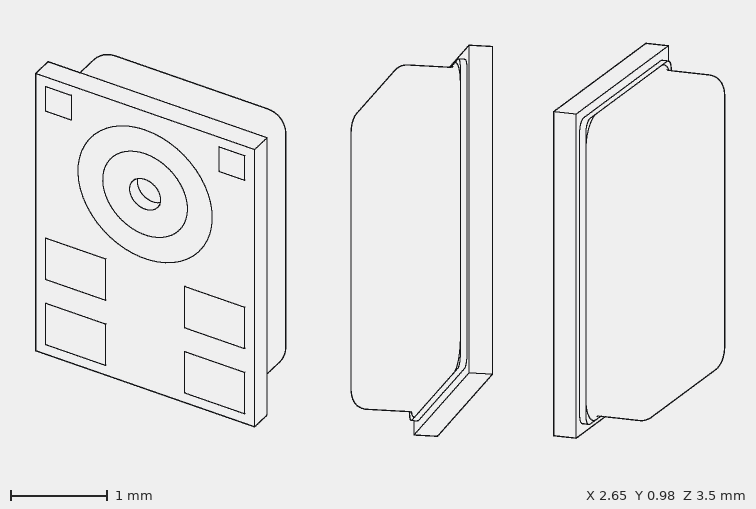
import cadquery as cq


board_width = 2.65
board_length = 3.5
board_thickness = 0.25

package_height = 0.98

seam_inset = 0.1
seam_width = board_width - 2 * seam_inset
seam_length = board_length - 2 * seam_inset
seam_thickness = 0.07
seam_corner_radius = 0.12
seam_top = board_thickness + seam_thickness

foot_radius = 0.05
lid_width = seam_width - 2 * foot_radius
lid_length = seam_length - 2 * foot_radius
lid_height = package_height - seam_top
lid_corner_radius = 0.25
lid_top_radius = 0.15

port_z = 0.705
port_diameter = 0.375
port_depth = 0.155
ring_outer_diameter = 1.625
ring_inner_diameter = 1.025

contact_thickness = 0.02
contact_margin = 0.122
small_pad_size = 0.31
large_pad_width = 0.725
large_pad_length = 0.522
large_pad_pitch = 0.822


def block(width, length, y_start, height, x_center=0, z_center=0):
    """Block of width along X and length along Z that rises from y_start toward +Y."""
    return (
        cq.Workplane("XY")
        .box(width, height, length)
        .translate((x_center, y_start + height / 2, z_center))
    )


def port_cylinder(diameter, depth):
    """Cylinder on the port axis that goes from the solder face into the board."""
    axis_point = cq.Vector(0, 0, port_z)
    return cq.Workplane(cq.Solid.makeCylinder(diameter / 2, depth, axis_point, cq.Vector(0, 1, 0)))


def make_pad_row(width, length, z_center):
    """Left and right pad, each set in from the side of the board by the contact margin."""
    x_offset = board_width / 2 - contact_margin - width / 2
    return [
        block(width, length, 0, contact_thickness, side * x_offset, z_center)
        for side in (-1, 1)
    ]


def make_ground_ring():
    disc = port_cylinder(ring_outer_diameter, contact_thickness)
    return disc.cut(port_cylinder(ring_inner_diameter, contact_thickness))


def make_board(contacts):
    """Board with the blind sound port and a matching recess for each contact."""
    body = block(board_width, board_length, 0, board_thickness)
    body = body.cut(port_cylinder(port_diameter, port_depth))
    for contact in contacts:
        body = body.cut(contact)
    return body


def make_seam():
    seam = block(seam_width, seam_length, board_thickness, seam_thickness)
    return seam.edges("|Y").fillet(seam_corner_radius)


def make_lid():
    """Rounded lid whose walls flare out in a concave foot where they meet the seam."""
    shell = block(lid_width, lid_length, seam_top, lid_height)
    shell = shell.edges("|Y").fillet(lid_corner_radius)
    shell = shell.faces(">Y").edges().fillet(lid_top_radius)

    plate = block(board_width, board_length, board_thickness, seam_thickness)
    junction = cq.selectors.BoxSelector(
        (-seam_width / 2, seam_top - foot_radius / 2, -seam_length / 2),
        (seam_width / 2, seam_top + foot_radius / 2, seam_length / 2),
    )
    flared = shell.union(plate).edges(junction).fillet(foot_radius)
    return flared.cut(plate)


small_pad_z = board_length / 2 - contact_margin - small_pad_size / 2
lower_pad_z = -board_length / 2 + contact_margin + large_pad_length / 2
small_pads = make_pad_row(small_pad_size, small_pad_size, small_pad_z)
large_pads = []
for row in range(2):
    large_pads += make_pad_row(large_pad_width, large_pad_length, lower_pad_z + row * large_pad_pitch)

ground_ring = make_ground_ring()
board = make_board([*small_pads, *large_pads, ground_ring])
seam = make_seam()
lid = make_lid()

result = cq.Compound.makeCompound(
    [
        board.val(),
        seam.val(),
        lid.val(),
        ground_ring.val(),
        *[pad.val() for pad in small_pads],
        *[pad.val() for pad in large_pads],
    ]
)